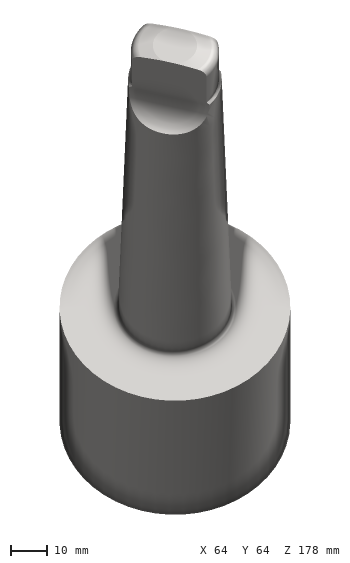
import cadquery as cq
import math

body_diameter = 64.0
body_height = 54.0

shank_length = 124.0
gauge_diameter = 31.267
gauge_offset = 6.5
taper_ratio = 1 / 19.254
root_fillet = 1.2

tang_diameter = 24.5
tang_thickness = 11.9
tang_length = 16.0
runout_radius = 8.0
tip_fillet = 2.5
tip_flat_diameter = tang_diameter / 2
tip_slope = math.radians(8)

arc_middle_factor = math.sqrt(0.5)

total_height = body_height + shank_length
tang_base_z = total_height - tang_length


def taper_radius(z):
    """Radius of the taper at height z."""
    gauge_z = body_height + gauge_offset
    return (gauge_diameter - (z - gauge_z) * taper_ratio) / 2


def make_revolved_blank():
    """Body, root fillet, taper, shoulder and round tang turned about the Z axis."""
    root_top_z = body_height + root_fillet
    root_radius = taper_radius(root_top_z)
    tang_radius = tang_diameter / 2

    fillet_center_r = tang_radius - tip_fillet
    fillet_top_r = fillet_center_r + tip_fillet * math.sin(tip_slope)
    cone_fall = (fillet_top_r - tip_flat_diameter / 2) * math.tan(tip_slope)
    fillet_top_z = total_height - cone_fall
    fillet_center_z = fillet_top_z - tip_fillet * math.cos(tip_slope)
    middle_angle = (math.pi / 2 - tip_slope) / 2
    fillet_middle = (
        fillet_center_r + tip_fillet * math.cos(middle_angle),
        fillet_center_z + tip_fillet * math.sin(middle_angle),
    )

    shoulder_rise = taper_radius(tang_base_z) - tang_radius

    root_middle_offset = root_fillet * (1 - arc_middle_factor)
    profile = (
        cq.Workplane("XZ")
        .lineTo(body_diameter / 2, 0)
        .lineTo(body_diameter / 2, body_height)
        .lineTo(root_radius + root_fillet, body_height)
        .threePointArc(
            (root_radius + root_middle_offset, body_height + root_middle_offset),
            (root_radius, root_top_z),
        )
        .lineTo(taper_radius(tang_base_z), tang_base_z)
        .lineTo(tang_radius, tang_base_z + shoulder_rise)
        .lineTo(tang_radius, fillet_center_z)
        .threePointArc(fillet_middle, (fillet_top_r, fillet_top_z))
        .lineTo(tip_flat_diameter / 2, total_height)
        .lineTo(0, total_height)
        .close()
    )
    return profile.revolve(360, (0, 0, 0), (0, 1, 0))


def make_flat_cutter(side):
    """Material beside one tang flat; side is +1 or -1 along Y."""
    flat_y = tang_thickness / 2
    center_y = flat_y + runout_radius
    outer_y = body_diameter / 2
    arc_middle_offset = runout_radius * arc_middle_factor
    return (
        cq.Workplane("YZ")
        .moveTo(side * flat_y, total_height)
        .lineTo(side * flat_y, tang_base_z)
        .threePointArc(
            (side * (center_y - arc_middle_offset), tang_base_z - arc_middle_offset),
            (side * center_y, tang_base_z - runout_radius),
        )
        .lineTo(side * outer_y, tang_base_z - runout_radius)
        .lineTo(side * outer_y, total_height)
        .close()
        .extrude(body_diameter / 2, both=True)
    )


result = make_revolved_blank()
for flat_side in (1, -1):
    result = result.cut(make_flat_cutter(flat_side))